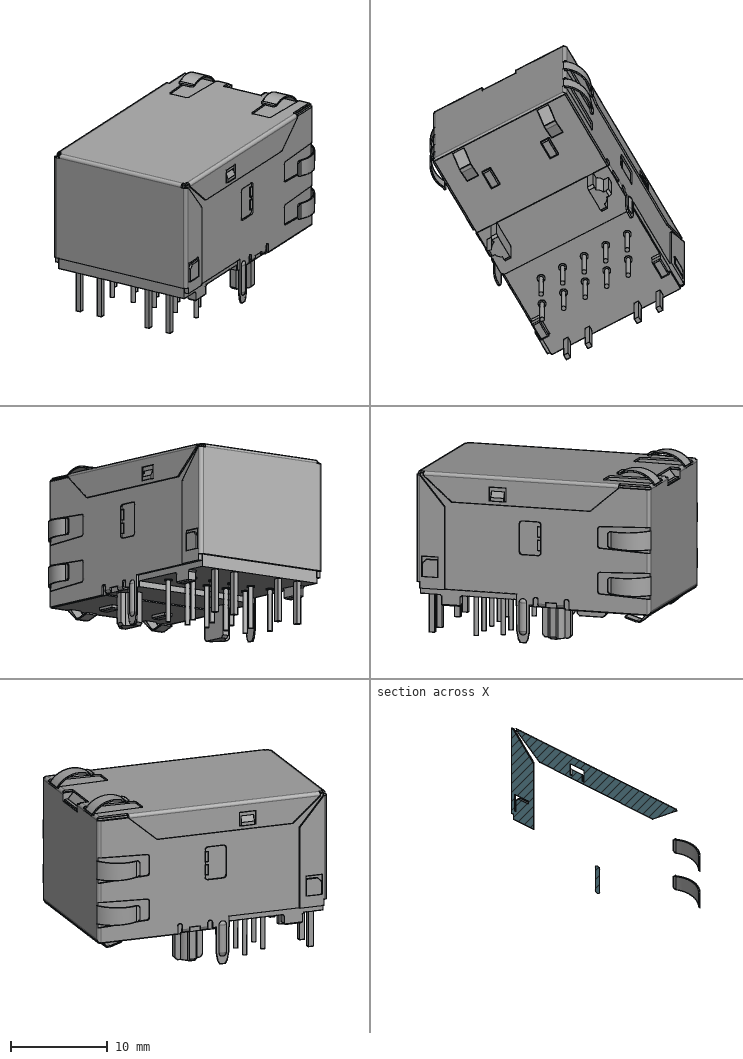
import cadquery as cq
import math


length = 25.4
overall_width = 18.2
overall_height = 18.5
front = length / 2
back = -length / 2
sheet = 0.18
bend = 0.35
side = 7.87
flap_side = side + sheet
top = 17.37
fold_z = top - 0.38
fold_y = back + 0.38
cover_front = 9.32
cover_bottom = 5.75
shield_bottom = 3.78
rear_shield_bottom = 5.08

core_side = side - sheet
rear_core_side = 7.6
core_top = top - sheet
core_front = front - sheet
core_back = -12.4
rear_core_bottom = 4.45
middle_core_bottom = 3.84
front_core_bottom = 3.7
core_step_front = 3.43
core_step_back = -2.0

tail_y = -1.15
tail_width = 1.35
tail_back = tail_y - tail_width / 2
tail_front = tail_y + tail_width / 2

post_x = 5.7
post_y = 1.9
post_bottom = 0.38

reach = 10.15
overhang = 0.25


def box(x_range, y_range, z_range):
    """Box spanning the three given (low, high) ranges."""
    (x0, x1), (y0, y1), (z0, z1) = x_range, y_range, z_range
    return cq.Workplane("XY").box(x1 - x0, y1 - y0, z1 - z0, centered=False).translate((x0, y0, z0))


def side_prism(points, x0, x1):
    """Prism of a (Y, Z) outline running from x0 to x1."""
    return cq.Workplane("YZ").polyline(points).close().extrude(x1 - x0).translate((x0, 0, 0))


def both_sides(shape):
    """The shape together with its mirror image across X = 0."""
    return shape.union(shape.mirror("YZ"))


core = side_prism(
    [
        (core_front, front_core_bottom),
        (core_step_front, front_core_bottom),
        (core_step_front, middle_core_bottom),
        (core_step_back, middle_core_bottom),
        (core_step_back, rear_core_bottom),
        (core_back, rear_core_bottom),
        (core_back, core_top),
        (core_front, core_top),
    ],
    -core_side,
    core_side,
)

core = core.cut(both_sides(box((rear_core_side, reach), (fold_y, tail_back), (0, rear_shield_bottom))))
core = core.cut(both_sides(box((rear_core_side, reach), (back, fold_y), (0, cover_bottom))))

shield = box((-side, side), (fold_y, front), (shield_bottom, top))
shield = shield.edges(">Y").fillet(bend)

top_wall_half = 7.52
side_wall_inner = 7.62
shield = shield.cut(both_sides(box((side_wall_inner, reach), (back, front), (core_top, top))))

edge_step = both_sides(box((top_wall_half, reach), (cover_front, front), (core_top, top)))
edge_step = edge_step.union(both_sides(box((side_wall_inner, reach), (cover_front, front), (fold_z, top))))

shield = shield.cut(box((-reach, reach), (back, tail_back), (0, rear_shield_bottom)))

relief_spacing = 3.35
relief_width = 0.53
relief_top = 4.85
relief_front = post_y + relief_spacing / 2
relief_back = post_y - relief_spacing / 2
wall_bottom = 4.01
tab_top = 4.22
tab_width = 0.85
tab_gap = 1.2
tab_gap_top = 4.37

shield = shield.cut(box((-reach, reach), (tail_back, relief_front), (0, wall_bottom)))
shield = shield.cut(box((-reach, reach), (relief_back, relief_front), (0, tab_top)))
shield = shield.cut(box((-reach, reach), (post_y - tab_gap / 2, post_y + tab_gap / 2), (0, tab_gap_top)))
for relief_y in (relief_front, relief_back):
    radius = relief_width / 2
    relief = (
        cq.Workplane("YZ")
        .moveTo(relief_y - radius, 0)
        .lineTo(relief_y - radius, relief_top - radius)
        .threePointArc((relief_y, relief_top), (relief_y + radius, relief_top - radius))
        .lineTo(relief_y + radius, 0)
        .close()
        .extrude(reach, both=True)
    )
    shield = shield.cut(relief)

latch_front = 0.8
latch_back = -1.55
latch_low = 9.27
latch_high = 12.83
latch_tooth_length = 0.38
latch_tooth_height = 1.1
latch_tooth_offset = 0.7
latch_tooth_recess = 0.08
latch_corner = 0.33

latch = box((core_side, reach), (latch_back, latch_front), (latch_low, latch_high))
latch = latch.edges("|X").fillet(latch_corner)
for sign in (-1, 1):
    tooth_z = (latch_low + latch_high) / 2 + sign * latch_tooth_offset
    latch = latch.cut(
        box(
            (0, side - latch_tooth_recess),
            (latch_front - latch_tooth_length, latch_front),
            (tooth_z - latch_tooth_height / 2, tooth_z + latch_tooth_height / 2),
        )
    )
shield = shield.cut(both_sides(latch))

notch_half = 2.29
notch_back = 11.55
ramp_half = 1.98
ramp_foot_y = 12.17
ramp_depth = 0.9
notch = box((-notch_half, notch_half), (notch_back, front + overhang), (core_top, top + overhang))
ramp = side_prism(
    [
        (notch_back, core_top),
        (ramp_foot_y, top - ramp_depth),
        (front + overhang, top - ramp_depth),
        (front + overhang, core_top),
    ],
    -ramp_half,
    ramp_half,
)
lip_depth = ramp_depth + sheet
notch_lip = box((-ramp_half, ramp_half), (core_front, front + overhang), (top - lip_depth, top))

top_flap_low = 14.35
top_flap_low_front = 6.2
top_flap_low_back = -8.86
back_flap_front = -9.63
flap_gap_y = -11.95
back_flap_top = 13.82

cover = box((-flap_side, flap_side), (back, cover_front), (rear_shield_bottom, top))
cover = cover.edges("(|Y and >Z) or (|X and >Z and <Y) or (|Z and <Y)").fillet(bend)
top_flap = side_prism(
    [
        (cover_front, top),
        (cover_front, fold_z),
        (top_flap_low_front, top_flap_low),
        (top_flap_low_back, top_flap_low),
        (flap_gap_y, fold_z),
        (flap_gap_y, top),
    ],
    -flap_side,
    flap_side,
)
back_flap = side_prism(
    [
        (fold_y, fold_z),
        (back_flap_front, back_flap_top),
        (back_flap_front, rear_shield_bottom),
        (fold_y, rear_shield_bottom),
        (fold_y, cover_bottom),
        (back, cover_bottom),
        (back, fold_z),
    ],
    -flap_side,
    flap_side,
)
corner_relief_x = 7.4
back_fold = box((-corner_relief_x, corner_relief_x), (back, flap_gap_y), (fold_z, top))
cover = cover.intersect(top_flap.union(back_flap).union(back_fold))

window_length = 5.72
window_mouth = 2.77
window_end = 2.25
window_corner = 0.25
spring_x = 4.98
spring_levels = (11.63, 6.8)

spring_crest_top = overall_height
spring_crest_side = overall_width / 2


def place_outward(shape, angle, centre):
    """Turn a shape built facing +Z about the Y axis, then move it along the wall to its centre."""
    return shape.rotate((0, 0, 0), (0, 1, 0), angle).translate(centre)


def spring_window():
    """Tapered window one sheet deep, open at the front, with its mouth face at Z = 0."""
    end_y = front - window_length
    window = (
        cq.Workplane("XY", origin=(0, 0, -sheet))
        .polyline(
            [
                (-window_mouth / 2, front + overhang),
                (-window_end / 2, end_y),
                (window_end / 2, end_y),
                (window_mouth / 2, front + overhang),
            ]
        )
        .close()
        .extrude(sheet + overhang)
    )
    return window.edges("|Z and <Y").fillet(window_corner)


def contact_spring():
    """Arched spring leaf with its crest at Z = 0 and its root at the front edge."""
    leaf = 0.15
    radius = 3.0
    crest_y = 10.13
    arc_end_y = 8.76
    tip_y = 8.38
    root_width = 1.98
    tip_width = 1.7
    tip_corner = 0.18

    def drop(y, r):
        """Height of an arc of radius r about the leaf centre, measured from the crest."""
        return math.sqrt(r**2 - (y - crest_y) ** 2) - radius

    inner = radius - leaf
    profile = (
        cq.Workplane("YZ")
        .moveTo(front, drop(front, radius))
        .threePointArc((crest_y, 0), (arc_end_y, drop(arc_end_y, radius)))
        .lineTo(tip_y, drop(arc_end_y, radius))
        .lineTo(tip_y, drop(arc_end_y, inner))
        .lineTo(arc_end_y, drop(arc_end_y, inner))
        .threePointArc((crest_y, -leaf), (front, drop(front, inner)))
        .close()
        .extrude(root_width, both=True)
    )
    plan = (
        cq.Workplane("XY", origin=(0, 0, -radius))
        .polyline(
            [
                (-root_width / 2, front),
                (-tip_width / 2, tip_y),
                (tip_width / 2, tip_y),
                (root_width / 2, front),
            ]
        )
        .close()
        .extrude(radius + overhang)
        .edges("|Z and <Y")
        .chamfer(tip_corner)
    )
    return profile.intersect(plan)


springs = []
for sign in (-1, 1):
    top_window = place_outward(spring_window(), 0, (sign * spring_x, 0, top))
    shield = shield.cut(top_window)
    cover = cover.cut(top_window)
    springs.append(place_outward(contact_spring(), 0, (sign * spring_x, 0, spring_crest_top)))
    for level in spring_levels:
        shield = shield.cut(place_outward(spring_window(), sign * 90, (sign * side, 0, level)))
        springs.append(place_outward(contact_spring(), sign * 90, (sign * spring_crest_side, 0, level)))

tongue_face = 8.13


def flap_window(y_range, z_range):
    """Matching openings through the flaps on both sides."""
    return both_sides(box((side, reach), y_range, z_range))


upper_front = -2.95
upper_back = -4.78
upper_low = 14.75
upper_high = 16.2
upper_margin = 0.2
upper_tongue_top = 15.77
upper_break_z = 15.15
cover = cover.cut(flap_window((upper_back, upper_front), (upper_low, upper_high)))
upper_tongue = (
    cq.Workplane("XZ", origin=(0, upper_front - upper_margin, 0))
    .polyline(
        [
            (core_side, upper_low),
            (tongue_face, upper_low),
            (tongue_face, upper_break_z),
            (side, upper_tongue_top),
            (core_side, upper_tongue_top),
        ]
    )
    .close()
    .extrude(upper_front - upper_back - 2 * upper_margin)
)

lower_front = -10.35
lower_back = -12.15
lower_low = 6.32
lower_high = 8.45
lower_margin = 0.15
tongue_corner = 0.38
cover = cover.cut(flap_window((lower_back, lower_front), (lower_low, lower_high)))
lower_tongue = box(
    (core_side, tongue_face),
    (lower_back + lower_margin, lower_front),
    (lower_low, lower_high - 2 * lower_margin),
)
lower_tongue = lower_tongue.edges("|X and <Y and >Z").chamfer(tongue_corner)

tail_taper_z = 1.22
tail_shoulder_z = 0.35
tail_tip_width = 1.02
tail_end_width = 0.6
tail = side_prism(
    [
        (tail_front, rear_shield_bottom),
        (tail_front, tail_taper_z),
        (tail_y + tail_tip_width / 2, tail_shoulder_z),
        (tail_y + tail_end_width / 2, 0),
        (tail_y - tail_end_width / 2, 0),
        (tail_y - tail_tip_width / 2, tail_shoulder_z),
        (tail_back, tail_taper_z),
        (tail_back, rear_shield_bottom),
    ],
    core_side,
    side,
)
rib_width = 0.81
rib_low = 0.81
rib_high = 4.65
rib_rise = flap_side - side
rib_radius = ((rib_width / 2) ** 2 + rib_rise**2) / (2 * rib_rise)
rib_x = flap_side - rib_radius
rib_ends = (rib_low + rib_width / 2, rib_high - rib_width / 2)
rib = (
    cq.Workplane("XY", origin=(rib_x, tail_y, rib_ends[0]))
    .circle(rib_radius)
    .extrude(rib_ends[1] - rib_ends[0])
)
for rib_end in rib_ends:
    rib = rib.union(cq.Workplane("XY", origin=(rib_x, tail_y, rib_end)).sphere(rib_radius))
rib = rib.intersect(box((core_side, flap_side), (tail_back, tail_front), (0, top)))

tab_depth = 0.5
tabs = []
for sign in (-1, 1):
    tab_y = post_y + sign * (tab_gap + tab_width) / 2
    tab = box(
        (side - tab_depth, side),
        (tab_y - tab_width / 2, tab_y + tab_width / 2),
        (middle_core_bottom, tab_top),
    )
    tabs.append(tab.edges("|Y and >X and <Z").fillet(bend))

post_height = middle_core_bottom - post_bottom
post_radius = 0.97
post_web = 0.69
post_span_y = 3.07
post_outer_x = 7.16
post_chamfer = 0.28
post_inner_x = post_x - post_web / 2
post_z = (post_bottom, middle_core_bottom)
post = cq.Workplane("XY", origin=(post_x, post_y, post_bottom)).circle(post_radius).extrude(post_height)
post = post.cut(box((0, post_inner_x), (-reach, reach), post_z))
cross_web = box(
    (post_inner_x, post_inner_x + post_web),
    (post_y - post_span_y / 2, post_y + post_span_y / 2),
    post_z,
)
outer_web = box((post_x, post_outer_x), (post_y - post_web / 2, post_y + post_web / 2), post_z)
post = post.union(cross_web.edges("|X and <Z").chamfer(post_chamfer))
post = post.union(outer_web.edges("|Y and >X and <Z").chamfer(post_chamfer))

foot_bottom = 3.3
foot_chamfer = 0.13
foot_flare = 0.18
foot_back = -10.08
foot_front = -8.1
rear_foot_inner = 6.63
front_foot_x = (2.95, 3.95)
front_foot_y = (7.09, 9.15)
rear_foot = side_prism(
    [
        (foot_back - foot_flare, rear_core_bottom),
        (foot_back, rear_core_bottom - foot_flare),
        (foot_back, foot_bottom),
        (foot_front, foot_bottom),
        (foot_front, rear_core_bottom - foot_flare),
        (foot_front + foot_flare, rear_core_bottom),
    ],
    rear_foot_inner,
    rear_core_side,
)
front_foot = box(front_foot_x, front_foot_y, (foot_bottom, front_core_bottom + overhang))
feet = [foot.faces("<Z").edges().chamfer(foot_chamfer) for foot in (rear_foot, front_foot)]

ground_leaf = 0.15
ground_width = 1.32
ground_low = 2.5
ground_root_front = 12.45
ground_root_back = 11.95
ground_bend_front = 10.87
ground_bend_back = 10.46
ground_tip_y = 9.22
ground_tip_z = 2.87
ground_spring = side_prism(
    [
        (ground_root_front, shield_bottom + ground_leaf),
        (ground_root_front, shield_bottom),
        (ground_bend_front, ground_low),
        (ground_bend_back, ground_low),
        (ground_tip_y, ground_tip_z),
        (ground_tip_y, ground_tip_z + ground_leaf),
        (ground_bend_back, ground_low + ground_leaf),
        (ground_bend_front, ground_low + ground_leaf),
        (ground_root_back, shield_bottom),
        (ground_root_back, shield_bottom + ground_leaf),
    ],
    spring_x - ground_width / 2,
    spring_x + ground_width / 2,
)

pin_count = 10
pin_pitch = 1.27
pin_rows = (-4.42, -6.93)
pin_diameter = 0.48
collar_diameter = 0.81
collar_height = 0.1
pin_top = rear_core_bottom + overhang
pins = []
for index in range(pin_count):
    pin_at = ((index - (pin_count - 1) / 2) * pin_pitch, pin_rows[index % 2])
    pins.append(cq.Workplane("XY").center(*pin_at).circle(pin_diameter / 2).extrude(pin_top))
    collar = cq.Workplane("XY", origin=(*pin_at, rear_core_bottom - collar_height))
    pins.append(collar.circle(collar_diameter / 2).extrude(collar_height + overhang))

back_pin_y = -11.79
back_pin_size = (0.5, 0.58)
for pin_x in (-5.44, -2.9, 2.9, 5.44):
    back_pin = cq.Workplane("XY").center(pin_x, back_pin_y).rect(*back_pin_size)
    pins.append(back_pin.extrude(pin_top))

result = shield.union(core).union(cover).cut(edge_step).cut(notch).cut(ramp).cut(notch_lip)
paired_parts = [upper_tongue, lower_tongue, tail, rib, post, ground_spring] + tabs + feet
for part in paired_parts:
    result = result.union(both_sides(part))
for part in springs + pins:
    result = result.union(part)